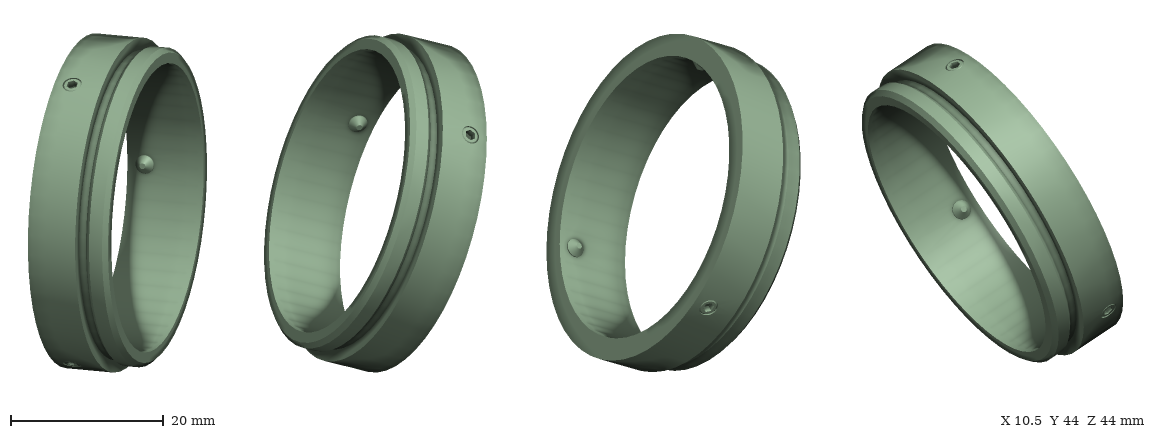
import cadquery as cq
import math

total_length = 10.5
bore_diameter = 38.0
sleeve_diameter = 44.0
sleeve_length = 6.5
neck_diameter = 40.8
neck_length = 0.95
flange_diameter = 42.0
flange_chamfer = (flange_diameter - neck_diameter) / 2

screw_count = 3
screw_x = 2.4
screw_diameter = 2.5
screw_end_diameter = 2.1
screw_end_chamfer = (screw_diameter - screw_end_diameter) / 2
screw_recess = 0.05
cone_tip_diameter = 0.8
cone_start_inset = 0.18
cone_length = (screw_diameter - cone_tip_diameter) / 2
socket_across_flats = 1.3
socket_depth = 1.05

bore_radius = bore_diameter / 2
sleeve_radius = sleeve_diameter / 2
screw_end_radius = sleeve_radius - screw_recess
cone_base_radius = bore_radius - cone_start_inset
cone_tip_radius = cone_base_radius - cone_length


def make_ring():
    """Sleeve, neck and double-chamfered flange around a plain through bore."""
    neck_radius = neck_diameter / 2
    flange_radius = flange_diameter / 2
    flange_start = sleeve_length + neck_length
    profile = [
        (0, bore_radius),
        (0, sleeve_radius),
        (sleeve_length, sleeve_radius),
        (sleeve_length, neck_radius),
        (flange_start, neck_radius),
        (flange_start + flange_chamfer, flange_radius),
        (total_length - flange_chamfer, flange_radius),
        (total_length, neck_radius),
        (total_length, bore_radius),
    ]
    return cq.Workplane("XY").polyline(profile).close().revolve(360, (0, 0, 0), (1, 0, 0))


def make_screw_hole():
    """Outer half of the radial screw hole along +Z, cut slightly past the sleeve surface."""
    start = (bore_radius + screw_end_radius) / 2
    return (
        cq.Workplane("XY", origin=(screw_x, 0, start))
        .circle(screw_diameter / 2)
        .extrude(sleeve_radius - start + screw_recess)
    )


def make_screw():
    """Set screw along +Z: cone point inside the bore, hex socket at the outer end."""
    profile = [
        (0, cone_tip_radius),
        (cone_tip_diameter / 2, cone_tip_radius),
        (screw_diameter / 2, cone_base_radius),
        (screw_diameter / 2, screw_end_radius - screw_end_chamfer),
        (screw_end_diameter / 2, screw_end_radius),
        (0, screw_end_radius),
    ]
    body = cq.Workplane("XZ").polyline(profile).close().revolve(360, (0, 0, 0), (0, 1, 0))
    socket_across_corners = socket_across_flats / math.cos(math.pi / 6)
    socket = (
        cq.Workplane("XY", origin=(0, 0, screw_end_radius - socket_depth))
        .polygon(6, socket_across_corners)
        .extrude(socket_depth)
        .rotate((0, 0, 0), (0, 0, 1), 30)
    )
    return body.cut(socket).translate((screw_x, 0, 0))


def turn_about_axis(shape, angle):
    return shape.rotate((0, 0, 0), (1, 0, 0), angle)


result = make_ring()
for index in range(screw_count):
    angle = -90 + index * 360 / screw_count
    result = result.cut(turn_about_axis(make_screw_hole(), angle))
    result = result.union(turn_about_axis(make_screw(), angle))